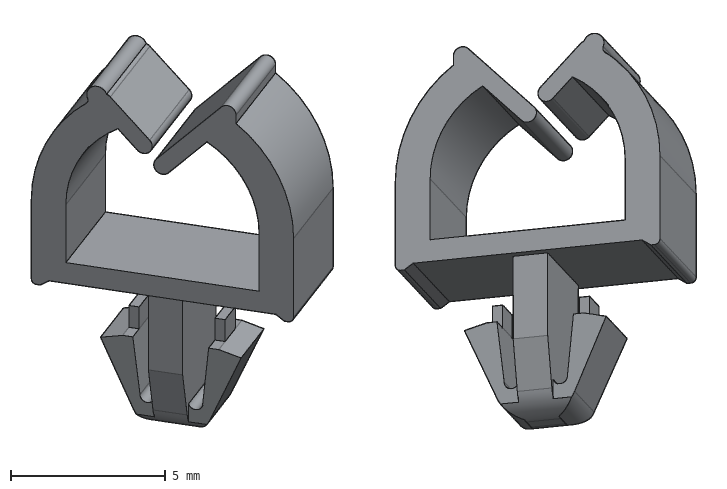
import cadquery as cq
import math


clip_depth = 4.0
half_width = 4.5
wall = 1.19
floor_thickness = 0.75
inner_half_width = half_width - wall
spring_height = 2.84
outer_radius = 4.71
inner_radius = 3.44
foot_drop = 0.2
foot_flat_x = 4.19
foot_inner_x = 3.89
foot_radius = 0.19

lip_radius = 0.3
lip_axis_height = 4.75
lip_head_x = 2.22
right_lip_tip_x = 0.0
left_lip_tip_x = -0.65
left_lip_root_x = -2.0
left_bead_radius = 0.35
left_bead_fillet = 0.15
left_bead_z = lip_axis_height + lip_head_x + lip_radius - left_bead_radius
left_bead_x = lip_axis_height - left_bead_z + (lip_radius - left_bead_radius) * math.sqrt(2)

stem_bottom = -5.22
stem_half_width = 0.59
stem_half_depth = 1.69
stem_taper_start = -2.84
stem_end_half_depth = 1.02
nose_radius = 1.0
prong_top = -2.0
prong_top_half_depth = 1.16
prong_end_half_depth = 1.06
prong_end_half_width = 1.05
barb_x = 2.41
barb_z = -2.19
groove_radius = 0.25
groove_center_z = -4.08
groove_center_x = stem_half_width + groove_radius - 0.01
tab_inner_x = 1.3
tab_outer_x = 1.65
tab_top = -1.21
tab_half_depth = 0.52


def extrude_along_y(sketch, depth):
    return sketch.extrude(depth / 2, both=True)


def arc_height(radius, spring_x, x):
    """Height at x of an arc that rises vertically from (spring_x, spring_height)."""
    return spring_height + math.sqrt(radius**2 - (x - spring_x + radius) ** 2)


def make_half_frame(head_x, shoulder_z):
    """Right half of the frame; its arch ends at head_x and rises straight to shoulder_z."""
    head_z = arc_height(outer_radius, half_width, head_x)
    lip_underside = lip_axis_height - lip_radius * math.sqrt(2)
    center_x = inner_half_width - inner_radius
    offset = lip_underside + center_x - spring_height
    inner_dx = (-offset + math.sqrt(2 * inner_radius**2 - offset**2)) / 2
    inner_end = (center_x + inner_dx, lip_underside + center_x + inner_dx)
    sketch = (
        cq.Workplane("XZ")
        .moveTo(0, 0)
        .lineTo(foot_inner_x, 0)
        .lineTo(foot_flat_x, -foot_drop)
        .lineTo(half_width - foot_radius, -foot_drop)
        .radiusArc((half_width, foot_radius - foot_drop), -foot_radius)
        .lineTo(half_width, spring_height)
        .radiusArc((head_x, head_z), -outer_radius)
        .lineTo(head_x, shoulder_z)
        .lineTo(lip_head_x, lip_axis_height + lip_head_x)
        .lineTo(*inner_end)
        .radiusArc((inner_half_width, spring_height), inner_radius)
        .lineTo(inner_half_width, floor_thickness)
        .lineTo(0, floor_thickness)
        .close()
    )
    return extrude_along_y(sketch, clip_depth)


def make_lip(side, root_x, tip_x):
    """Strip with round ends; side is +1 for the right lip and -1 for the left."""
    mid_x = (root_x + tip_x) / 2
    length = abs(root_x - tip_x) * math.sqrt(2) + 2 * lip_radius
    sketch = (
        cq.Workplane("XZ")
        .center(mid_x, lip_axis_height + side * mid_x)
        .slot2D(length, 2 * lip_radius, side * 45)
    )
    return extrude_along_y(sketch, clip_depth)


def make_clip():
    lip_head_z = lip_axis_height + lip_head_x
    right_half = make_half_frame(lip_head_x + lip_radius, lip_head_z)
    left_half = make_half_frame(-left_bead_x, left_bead_z).mirror("YZ")
    bead = extrude_along_y(
        cq.Workplane("XZ").center(left_bead_x, left_bead_z).circle(left_bead_radius), clip_depth
    )
    left_side = left_half.union(make_lip(-1, left_lip_root_x, left_lip_tip_x)).union(bead)
    groove_x = left_bead_x - left_bead_radius
    groove_z = left_bead_z - left_bead_radius
    groove_edge = cq.NearestToPointSelector((groove_x, 0, groove_z))
    left_side = left_side.edges("|Y").edges(groove_edge).fillet(left_bead_fillet)
    right_side = right_half.union(make_lip(1, lip_head_x, right_lip_tip_x))
    return right_side.union(left_side)


def make_stem_blank():
    """Stem side profile with a rounded nose, wide enough to contain the prongs."""
    return (
        cq.Workplane("YZ")
        .polyline([
            (-stem_half_depth, 0),
            (-stem_half_depth, stem_taper_start),
            (-stem_end_half_depth, stem_bottom),
            (stem_end_half_depth, stem_bottom),
            (stem_half_depth, stem_taper_start),
            (stem_half_depth, 0),
        ])
        .close()
        .extrude(barb_x, both=True)
        .edges("|X and <Z")
        .fillet(nose_radius)
    )


def make_prongs():
    """Both barbed prongs, joined at the nose."""
    sketch = (
        cq.Workplane("XZ")
        .polyline([
            (-barb_x, barb_z),
            (-prong_end_half_width, stem_bottom),
            (prong_end_half_width, stem_bottom),
            (barb_x, barb_z),
            (tab_outer_x, prong_top),
            (-tab_outer_x, prong_top),
        ])
        .close()
    )
    prongs = extrude_along_y(sketch, 2 * stem_half_depth).edges("|Y and <Z").fillet(nose_radius)

    groove = extrude_along_y(
        cq.Workplane("XZ")
        .moveTo(0, prong_top)
        .lineTo(tab_inner_x, prong_top)
        .lineTo(groove_center_x + groove_radius, groove_center_z)
        .threePointArc(
            (groove_center_x, groove_center_z - groove_radius),
            (groove_center_x - groove_radius, groove_center_z),
        )
        .lineTo(0, groove_center_z)
        .close(),
        2 * stem_half_depth,
    )
    side_taper = (
        cq.Workplane("YZ")
        .polyline([
            (-prong_top_half_depth, prong_top),
            (-prong_end_half_depth, stem_bottom),
            (prong_end_half_depth, stem_bottom),
            (prong_top_half_depth, prong_top),
        ])
        .close()
        .extrude(barb_x, both=True)
    )
    return prongs.cut(groove).cut(groove.mirror("YZ")).intersect(side_taper)


def make_tab():
    """Upright tab on top of the right prong."""
    return (
        cq.Workplane("XY", origin=((tab_inner_x + tab_outer_x) / 2, 0, prong_top))
        .rect(tab_outer_x - tab_inner_x, 2 * tab_half_depth)
        .extrude(tab_top - prong_top)
    )


stem_blank = make_stem_blank()
stem_slab = cq.Workplane("XY").rect(2 * stem_half_width, 2 * stem_half_depth).extrude(stem_bottom)
stem = stem_blank.intersect(stem_slab)
prongs = make_prongs().intersect(stem_blank)
tab = make_tab()

result = make_clip().union(stem).union(prongs).union(tab).union(tab.mirror("YZ"))